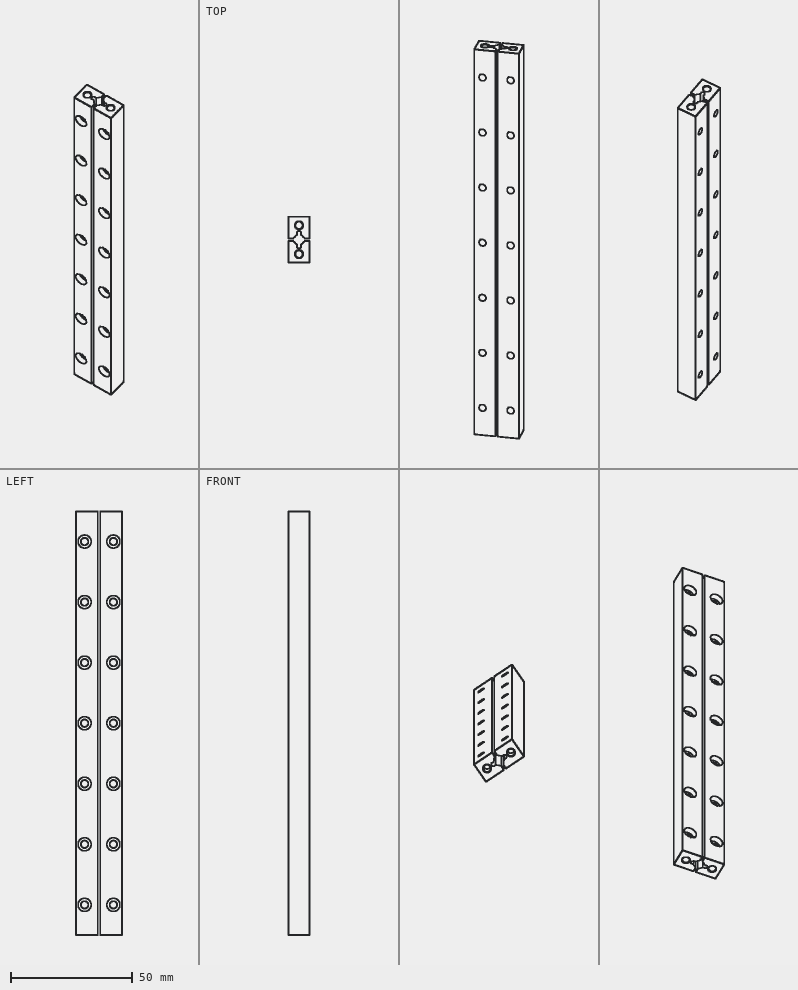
import cadquery as cq

length = 175.0
thickness = 9.0
pair_width = 19.0
gap = 0.9

edge_chamfer = 0.14

groove_mouth = 4.9
relief_width = 1.5
relief_floor = 3.7

mount_count = 7
mount_pitch = length / mount_count
mount_y = 6.0
mount_diameter = 3.0
counterbore_diameter = 5.5
counterbore_depth = 2.6

end_hole_diameter = 3.0
end_countersink_diameter = 3.5
end_hole_depth = 7.0

half_thickness = thickness / 2
inner_face = gap / 2
outer_face = pair_width / 2


def rail_blank():
    """Plain bar on the +Y side with all its edges broken."""
    bar = cq.Workplane("XY").box(
        thickness, outer_face - inner_face, length, centered=(True, False, False)
    )
    return bar.translate((0, inner_face, 0)).edges().chamfer(edge_chamfer)


def running_groove():
    """V groove with 45 degree flanks and a round-bottomed relief slot at its root."""
    half_mouth = groove_mouth / 2
    half_relief = relief_width / 2
    flank_end = inner_face + half_mouth - half_relief
    return (
        cq.Workplane("XY")
        .moveTo(-half_mouth, inner_face)
        .lineTo(-half_relief, flank_end)
        .lineTo(-half_relief, relief_floor - half_relief)
        .threePointArc((0, relief_floor), (half_relief, relief_floor - half_relief))
        .lineTo(half_relief, flank_end)
        .lineTo(half_mouth, inner_face)
        .close()
        .extrude(length)
    )


def mounting_hole(z):
    """Through hole along X with a counterbore on the -X side."""
    face = cq.Workplane("YZ", origin=(-half_thickness, mount_y, z))
    through = face.circle(mount_diameter / 2).extrude(thickness)
    counterbore = face.circle(counterbore_diameter / 2).extrude(counterbore_depth)
    return through.union(counterbore)


def end_hole():
    """Countersunk blind hole with a conical bottom, sunk from Z = 0 upwards."""
    radius = end_hole_diameter / 2
    rim = end_countersink_diameter / 2
    return (
        cq.Workplane("XZ")
        .polyline([
            (0, 0),
            (rim, 0),
            (radius, rim - radius),
            (radius, end_hole_depth),
            (0, end_hole_depth + radius),
        ])
        .close()
        .revolve(360, (0, 0, 0), (0, 1, 0))
        .translate((0, mount_y, 0))
    )


def make_rail():
    """The rail on the +Y side."""
    rail = rail_blank().cut(running_groove())
    for index in range(mount_count):
        rail = rail.cut(mounting_hole((index + 0.5) * mount_pitch))
    bottom_hole = end_hole()
    top_hole = bottom_hole.mirror("XY", (0, 0, length / 2))
    return rail.cut(bottom_hole).cut(top_hole)


rail = make_rail()
rails = [rail, rail.mirror("XZ")]

result = cq.Compound.makeCompound([body.val() for body in rails])